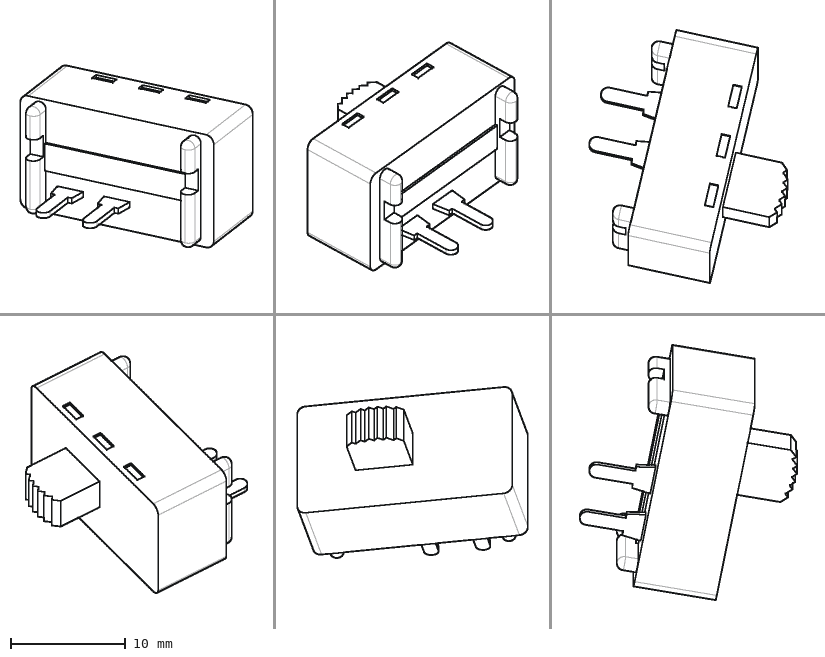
import cadquery as cq


housing_length = 19.1
housing_depth = 7.3
housing_height = 10.8
corner_radius = 0.76

strip_height = 2.6
strip_thickness = 0.23

foot_spacing = 15.28
foot_width = 1.28
foot_height = 10.2
foot_reach = 1.8
foot_crest_width = 0.02
foot_edge_radius = (foot_width - foot_crest_width) / 2
notch_bottom = 0.15
notch_height = 2.02
notch_floor = 0.52

pitch = 4.6
window_count = 3
window_length = 2.02
window_width = 0.76
window_depth = 0.25
window_front_margin = 0.57

knob_center_x = 1.81
knob_width = 5.08
knob_height = 3.17
tooth_tips = [(0.38, 5.08), (1.15, 4.97), (1.97, 4.72)]

terminal_positions = [-pitch, 0]
terminal_thickness = 0.52
terminal_center_z = -2.88
terminal_root_width = 2.55
terminal_shoulder_width = 2.06
terminal_shoulder_reach = 1.66
terminal_blade_width = 1.28
terminal_reach = 5.63


def make_housing_block():
    block = cq.Workplane("XY").box(
        housing_length, housing_depth, housing_height, centered=(True, False, True)
    )
    return block.edges("|Y").fillet(corner_radius)


def make_strip():
    return cq.Workplane("XY").box(foot_spacing, strip_thickness, strip_height).translate(
        (0, -strip_thickness / 2, 0)
    )


def make_foot(x):
    """Slot-shaped rib with a rounded outer edge and a notch across it."""
    rib = cq.Workplane("XZ").slot2D(foot_height, foot_width, 90).extrude(foot_reach)
    foot = rib.faces("<Y").edges().fillet(foot_edge_radius)
    notch_depth = foot_reach - notch_floor
    notch = (
        cq.Workplane("XY")
        .box(foot_width, notch_depth, notch_height, centered=(True, False, False))
        .translate((0, -foot_reach, notch_bottom))
    )
    return foot.cut(notch).translate((x, 0, 0))


def make_windows():
    first_x = -pitch * (window_count - 1) / 2
    center_y = housing_depth - window_front_margin - window_width / 2
    centers = [(first_x + i * pitch, center_y) for i in range(window_count)]
    return (
        cq.Workplane("XY", origin=(0, 0, housing_height / 2))
        .pushPoints(centers)
        .rect(window_length, window_width)
        .extrude(-window_depth)
    )


def valley_between(inner, outer):
    """Point where the 45 degree flanks of two neighbouring teeth meet."""
    x = (inner[0] + outer[0] + inner[1] - outer[1]) / 2
    return (x, inner[1] + inner[0] - x)


def make_knob():
    half_width = knob_width / 2
    innermost = tooth_tips[0]
    outermost = tooth_tips[-1]
    middle_valley = (0, innermost[1] - innermost[0])

    crown = [innermost]
    for inner, outer in zip(tooth_tips, tooth_tips[1:]):
        crown += [valley_between(inner, outer), outer]
    crown.append((half_width, outermost[1] + outermost[0] - half_width))

    mirrored_crown = [(-x, y) for x, y in reversed(crown)]
    outline = [(-half_width, 0), *mirrored_crown, middle_valley, *crown, (half_width, 0)]
    return (
        cq.Workplane("XY")
        .polyline(outline)
        .close()
        .extrude(knob_height / 2, both=True)
        .translate((knob_center_x, housing_depth, 0))
    )


def make_housing():
    housing = make_housing_block().union(make_strip())
    for side in (-1, 1):
        housing = housing.union(make_foot(side * foot_spacing / 2))
    return housing.cut(make_windows()).union(make_knob())


def make_terminal(x):
    """Flat terminal standing on the back face: tapered root, then a round-ended blade."""
    root = terminal_root_width / 2
    shoulder = terminal_shoulder_width / 2
    blade = terminal_blade_width / 2
    blade_end_y = -terminal_reach + blade
    return (
        cq.Workplane("XY")
        .moveTo(-root, 0)
        .lineTo(-shoulder, -terminal_shoulder_reach)
        .lineTo(-blade, -terminal_shoulder_reach)
        .lineTo(-blade, blade_end_y)
        .threePointArc((0, -terminal_reach), (blade, blade_end_y))
        .lineTo(blade, -terminal_shoulder_reach)
        .lineTo(shoulder, -terminal_shoulder_reach)
        .lineTo(root, 0)
        .close()
        .extrude(terminal_thickness / 2, both=True)
        .translate((x, 0, terminal_center_z))
    )


housing = make_housing()
terminals = [make_terminal(x) for x in terminal_positions]

result = cq.Compound.makeCompound([housing.val(), *[terminal.val() for terminal in terminals]])